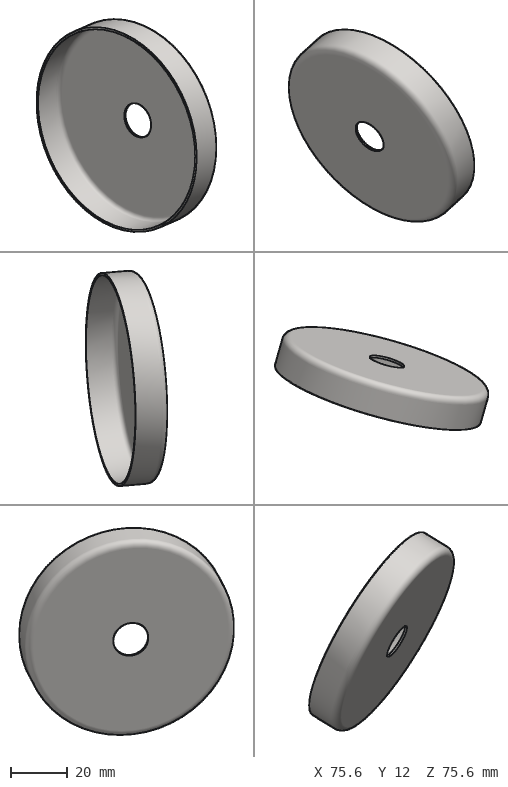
import cadquery as cq

outer_diameter = 75.6
height = 12.0
wall = 0.8
outer_fillet = 2.5
hole_diameter = 12.6

outer_radius = outer_diameter / 2
inner_radius = outer_radius - wall
inner_fillet = outer_fillet - wall


def rounded_disc(radius, length, fillet):
    """Disc from the rim plane toward +Y, with its +Y edge rounded."""
    disc = cq.Workplane("XZ").circle(radius).extrude(-length)
    return disc.faces(">Y").edges().fillet(fillet)


shell = rounded_disc(outer_radius, height, outer_fillet)
cavity = rounded_disc(inner_radius, height - wall, inner_fillet)
center_hole = cq.Workplane("XZ").circle(hole_diameter / 2).extrude(-height)

result = shell.cut(cavity).cut(center_hole)